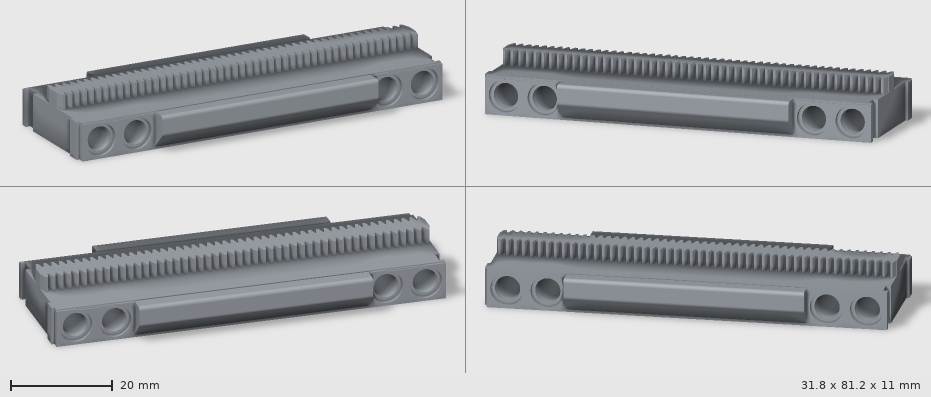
import cadquery as cq

overall_length = 81.2
body_length = 80.1
body_width = 25.2
body_height = 7.8
body_end = body_length / 2
body_side = body_width / 2

overall_height = 11.0
tooth_count = 50
tooth_pitch = body_length / tooth_count
tooth_tip_x = 3.3
tooth_root_x = 1.6
tip_land = 0.5
root_land = 0.2

overall_width = 31.8
rail_length = 48.1
rail_side = overall_width / 2
rail_overhang = rail_side - body_side
rail_shoulder_drop = 4.0
rail_edge_radius = 0.8

hole_diameter = 5.0
counterbore_diameter = 6.6
counterbore_depth = 0.8
outer_hole_y = 36.0
inner_hole_y = 27.9
hole_z = body_height / 2

ledge_width = 0.5
ledge_depth = 0.25
pocket_width = 0.25
pocket_depth = 0.5

tab_x = 9.75
tab_width = 2.8
tab_length = (overall_length - body_length) / 2
recess_width = 3.0
recess_depth = 1.0
relief_radius = 0.2


def block(x_range, y_range, z_range):
    """Axis-aligned box spanning the given (low, high) ranges."""
    size = [high - low for low, high in (x_range, y_range, z_range)]
    corner = (x_range[0], y_range[0], z_range[0])
    return cq.Workplane("XY").box(*size, centered=False).translate(corner)


def mirrored(shape, plane):
    """The shape together with its mirror image."""
    return shape.union(shape.mirror(plane))


def turned_pair(shape):
    """The shape together with its copy turned half a turn about Z."""
    return shape.union(shape.rotate((0, 0, 0), (0, 0, 1), 180))


def rack():
    """Rack with straight-flanked teeth on both sides, starting and ending at half a gap."""
    root_offset = (tooth_pitch - root_land) / 2
    right_side = [(tooth_root_x, -body_end)]
    for index in range(tooth_count):
        centre = -body_end + (index + 0.5) * tooth_pitch
        right_side += [
            (tooth_root_x, centre - root_offset),
            (tooth_tip_x, centre - tip_land / 2),
            (tooth_tip_x, centre + tip_land / 2),
            (tooth_root_x, centre + root_offset),
        ]
    right_side.append((tooth_root_x, body_end))
    left_side = [(-x, y) for x, y in reversed(right_side)]
    return cq.Workplane("XY").polyline(right_side + left_side).close().extrude(overall_height)


def rails():
    """Rails with a 45 degree underside and rounded outer edges."""
    shoulder_z = body_height - rail_shoulder_drop
    rail = (
        cq.Workplane("XZ")
        .polyline([
            (0, body_height),
            (rail_side, body_height),
            (rail_side, shoulder_z),
            (body_side, shoulder_z - rail_overhang),
            (0, shoulder_z - rail_overhang),
        ])
        .close()
        .extrude(rail_length / 2, both=True)
    )
    rail = rail.edges("|Y and >X").fillet(rail_edge_radius)
    root_corners = [(body_side, -rail_length / 2), (body_side, rail_length / 2)]
    rail = rail.cut(round_reliefs(root_corners))
    return mirrored(rail, "YZ")


def cross_holes():
    """Through holes along X with a counterbore in each side face."""
    centres = [(y, hole_z) for y in (-outer_hole_y, -inner_hole_y, inner_hole_y, outer_hole_y)]
    plane = cq.Workplane("YZ").pushPoints(centres)
    bores = plane.circle(hole_diameter / 2).extrude(body_side, both=True)
    counterbores = (
        cq.Workplane("YZ", origin=(body_side - counterbore_depth, 0, 0))
        .pushPoints(centres)
        .circle(counterbore_diameter / 2)
        .extrude(counterbore_depth)
    )
    return bores.union(mirrored(counterbores, "YZ"))


def edge_ledges():
    """Step along each long top edge and the narrow pockets between neighbouring holes."""
    ledge = block(
        (body_side - ledge_width, body_side),
        (-body_end, body_end),
        (body_height - ledge_depth, body_height),
    )
    pocket = block(
        (body_side - pocket_width, body_side),
        (inner_hole_y, outer_hole_y),
        (body_height - pocket_depth, body_height),
    )
    return mirrored(ledge.union(mirrored(pocket, "XZ")), "YZ")


def end_tabs():
    """One tab at each end, diagonally opposite."""
    tab = block(
        (tab_x - tab_width / 2, tab_x + tab_width / 2),
        (-body_end - tab_length, 0),
        (0, body_height),
    )
    return turned_pair(tab)


def end_recesses():
    """One recess at each end, facing the tab of a neighbouring part."""
    recess = block(
        (tab_x - recess_width / 2, tab_x + recess_width / 2),
        (body_end - recess_depth, body_end),
        (0, body_height),
    )
    return turned_pair(recess)


def round_reliefs(corners):
    """Small upright cylinders that clear inner corners over the body height."""
    return cq.Workplane("XY").pushPoints(corners).circle(relief_radius).extrude(body_height)


def end_reliefs():
    """Reliefs at the tab roots, set into the body, and in the inner corners of the recesses."""
    corners = []
    for side in (-1, 1):
        corners.append((tab_x + side * tab_width / 2, -body_end + relief_radius / 2))
        corners.append((tab_x + side * recess_width / 2, body_end - recess_depth))
    return turned_pair(round_reliefs(corners))


body = block((-body_side, body_side), (-body_end, body_end), (0, body_height))
result = (
    rails()
    .union(body)
    .union(end_tabs())
    .union(rack())
    .cut(cross_holes())
    .cut(edge_ledges())
    .cut(end_recesses())
    .cut(end_reliefs())
)